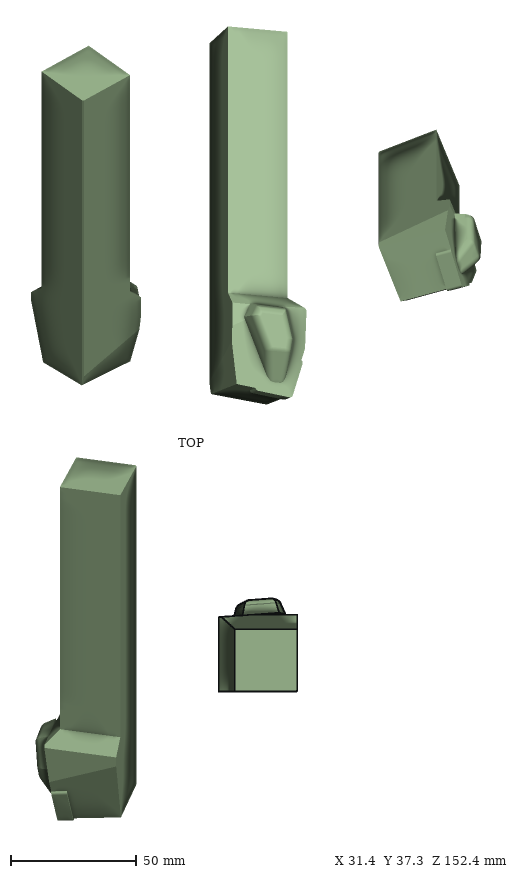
import cadquery as cq
import math

overall_length = 152.4
shank_size = 25.0
edge_break = 0.5

head_overhang = 6.4
head_start = 41.5
left_shoulder_drop = 5.8
back_shoulder_rise = 5.8
insert_overhang = 0.9
head_foot_length = 23.3
right_relief_angle = 10.0

rake_angle = 6.0
lead_angle = 15.0
end_edge_angle = 5.0
side_edge_angle = 90 + lead_angle
corner_angle = side_edge_angle - end_edge_angle
tip_x = -1.7
tip_y = 25.5
tip_z = -0.09

insert_side = 16.2
insert_thickness = 6.4
nose_radius = 1.2

clamp_height = 6.5
clamp_draft = 18.0
clamp_round = 3.2
clamp_outline = [(5.2, 36.1), (19.8, 36.1), (22.3, 30.5), (9.9, 4.9), (3.4, 4.9), (1.2, 22.9)]
clamp_slope_angle = 28.3
clamp_slope_foot = 5.5

reach = 91.5

lead = math.radians(lead_angle)
rake_slope_x = math.tan(math.radians(rake_angle)) * (math.cos(lead) - math.sin(lead))
rake_slope_z = math.tan(math.radians(rake_angle)) * (math.cos(lead) + math.sin(lead))

rake_plane = cq.Plane(
    origin=(tip_x, tip_y, tip_z),
    xDir=(1, rake_slope_x, 0),
    normal=(rake_slope_x, -1, rake_slope_z),
)


def along(start, angle, distance):
    """Point at a distance from start, at an angle in degrees from local x."""
    turn = math.radians(angle)
    return (start[0] + distance * math.cos(turn), start[1] + distance * math.sin(turn))


def make_insert():
    """Rhombic plate with rounded corners, lying just below the rake face."""
    tip = (0, 0)
    end_corner = along(tip, end_edge_angle, insert_side)
    side_corner = along(tip, side_edge_angle, insert_side)
    far_corner = along(end_corner, side_edge_angle, insert_side)
    blank = cq.Workplane(rake_plane).polyline([tip, end_corner, far_corner, side_corner]).close()
    blank = blank.extrude(insert_thickness)
    axis = cq.selectors.ParallelDirSelector(rake_plane.zDir)
    return blank.edges(axis).fillet(nose_radius)


def make_shank():
    """Square bar with one long edge chamfered."""
    return (
        cq.Workplane("XY", origin=(0, 0, head_start))
        .rect(shank_size, shank_size, centered=False)
        .extrude(overall_length - head_start)
        .edges("|Z and >X and <Y")
        .chamfer(edge_break)
    )


def make_head():
    """Shouldered block trimmed by a prism that stands square to the tilted rake face."""
    shoulder_z = head_start - left_shoulder_drop
    front_block = (
        cq.Workplane("XZ")
        .polyline([
            (0, head_start),
            (shank_size, head_start),
            (shank_size, -reach),
            (-head_overhang, -reach),
            (-head_overhang, shoulder_z),
        ])
        .close()
        .extrude(-reach)
        .edges("|Z and >X and <Y")
        .chamfer(edge_break)
    )
    top_y = shank_size + back_shoulder_rise
    side_block = (
        cq.Workplane("YZ", origin=(-reach / 2, 0, 0))
        .polyline([
            (0, head_start),
            (shank_size, head_start),
            (top_y, head_start - back_shoulder_rise),
            (top_y, -reach),
            (0, -reach),
        ])
        .close()
        .extrude(reach)
    )
    inset = insert_overhang / math.sin(math.radians(corner_angle / 2))
    corner = along((0, 0), end_edge_angle + corner_angle / 2, inset)
    foot_end = along(corner, end_edge_angle, head_foot_length)
    relief_prism = (
        cq.Workplane(rake_plane)
        .polyline([
            corner,
            foot_end,
            along(foot_end, 90 - right_relief_angle, reach),
            along(corner, side_edge_angle, reach),
        ])
        .close()
        .extrude(reach)
    )
    return front_block.intersect(side_block).intersect(relief_prism)


def make_clamp():
    """Clamp built flat on the XY plane (outline z along -y), then laid on the rake face."""
    slope = math.radians(clamp_slope_angle)
    block = (
        cq.Workplane("XY")
        .polyline([(x, -z) for x, z in clamp_outline])
        .close()
        .extrude(clamp_height, taper=clamp_draft)
    )
    nose_cut = (
        cq.Workplane("YZ", origin=(-reach / 2, 0, 0))
        .polyline([
            (-clamp_slope_foot, 0),
            (-clamp_slope_foot - reach * math.cos(slope), reach * math.sin(slope)),
            (reach, reach * math.sin(slope)),
            (reach, 0),
        ])
        .close()
        .extrude(reach)
    )
    block = block.cut(nose_cut)
    slope_normal = cq.Vector(0, math.sin(slope), math.cos(slope))
    slope_face = cq.selectors.ParallelDirSelector(slope_normal)
    top_face = cq.selectors.StringSyntaxSelector(">Z")
    base_edges = cq.selectors.StringSyntaxSelector("<Z")
    rounded_faces = block.faces(cq.selectors.SumSelector(top_face, slope_face))
    rounded = rounded_faces.edges(cq.selectors.InverseSelector(base_edges)).fillet(clamp_round)
    clamp_plane = cq.Plane(origin=rake_plane.origin, xDir=rake_plane.xDir, normal=-rake_plane.zDir)
    return cq.Workplane(rounded.val().moved(cq.Location(clamp_plane)))


insert = make_insert()
clamp = make_clamp()
holder = make_shank().union(make_head()).cut(insert).union(clamp)

result = cq.Compound.makeCompound([holder.val(), insert.val()])